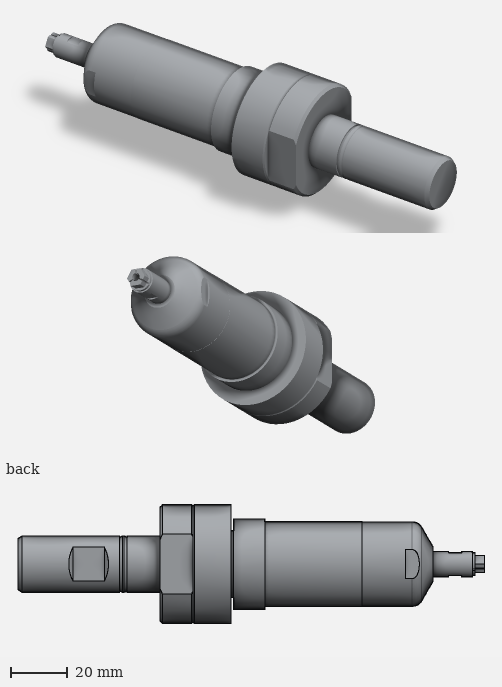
import cadquery as cq
import math

HEX_LENGTH = 3.3
SPINDLE_START = 4.3
CONE_START = 18.1
NOSE_ROUND_END = 25.5
BODY_JOINT = 43.4
COLLAR_START = 77.7
COLLAR_END = 88.7
FLANGE_START = 89.5
FLANGE_SPLIT = 103.0
FLANGE_END = 114.8
RING_START = 126.3
RING_END = 129.0
TOTAL_LENGTH = 164.9

STEP_DIAMETER = 8.0
SPINDLE_DIAMETER = 9.0
CONE_SMALL_DIAMETER = 12.0
NOSE_DIAMETER = 29.8
BODY_DIAMETER = 30.0
COLLAR_DIAMETER = 32.0
NECK_DIAMETER = 23.7
FLANGE_DIAMETER = 42.0
SHAFT_DIAMETER = 20.0

SPLIT_CHAMFER = 0.5
FLANGE_CHAMFER = 1.0
SHAFT_CHAMFER_LENGTH = 1.5
SHAFT_CHAMFER_DEPTH = 1.0
NOSE_ROUND_RADIUS = 4.0
CONE_HALF_ANGLE = math.radians(58)

GROOVE_DEPTH = 0.5
RING_CREST_WIDTH = 0.5

HEX_ACROSS_FLATS = 6.1
TIP_SLOT_WIDTH = 0.5
TIP_SLOT_DEPTH = 4.3
TIP_SLOT_COUNT = 3
TIP_BORE_DIAMETER = 3.0
TIP_BORE_DEPTH = 5.0

SPINDLE_FLAT_START = 8.0
SPINDLE_FLAT_END = 12.7
SPINDLE_FLAT_WIDTH = 8.0
NOSE_FLAT_END = 27.9
NOSE_FLAT_WIDTH = 28.0
FLANGE_FLAT_WIDTH = 36.3

NOTCH_FLOOR_START = 134.4
NOTCH_FLOOR_END = 145.5
NOTCH_DEPTH = 2.0
NOTCH_RUNOUT = 1.5


def turned_body():
    """Revolve the stepped outline about the X axis."""
    step = STEP_DIAMETER / 2
    spindle = SPINDLE_DIAMETER / 2
    nose = NOSE_DIAMETER / 2
    body = BODY_DIAMETER / 2
    collar = COLLAR_DIAMETER / 2
    neck = NECK_DIAMETER / 2
    flange = FLANGE_DIAMETER / 2
    shaft = SHAFT_DIAMETER / 2

    round_mid_angle = CONE_HALF_ANGLE / 2
    round_center_radius = nose - NOSE_ROUND_RADIUS
    round_start = (
        NOSE_ROUND_END - NOSE_ROUND_RADIUS * math.sin(CONE_HALF_ANGLE),
        round_center_radius + NOSE_ROUND_RADIUS * math.cos(CONE_HALF_ANGLE),
    )
    round_middle = (
        NOSE_ROUND_END - NOSE_ROUND_RADIUS * math.sin(round_mid_angle),
        round_center_radius + NOSE_ROUND_RADIUS * math.cos(round_mid_angle),
    )

    ring_middle = (RING_START + RING_END) / 2
    crest_start = ring_middle - RING_CREST_WIDTH / 2
    crest_end = ring_middle + RING_CREST_WIDTH / 2

    outline = (
        cq.Workplane("XY")
        .moveTo(HEX_LENGTH, 0)
        .lineTo(HEX_LENGTH, step)
        .lineTo(SPINDLE_START, step)
        .lineTo(SPINDLE_START, spindle)
        .lineTo(CONE_START, spindle)
        .lineTo(CONE_START, CONE_SMALL_DIAMETER / 2)
        .lineTo(*round_start)
        .threePointArc(round_middle, (NOSE_ROUND_END, nose))
        .lineTo(BODY_JOINT, nose)
        .lineTo(BODY_JOINT, body)
        .lineTo(COLLAR_START, body)
        .lineTo(COLLAR_START, collar)
        .lineTo(COLLAR_END, collar)
        .lineTo(COLLAR_END, neck)
        .lineTo(FLANGE_START, neck)
        .lineTo(FLANGE_START, flange)
        .lineTo(FLANGE_SPLIT - SPLIT_CHAMFER, flange)
        .lineTo(FLANGE_SPLIT, flange - SPLIT_CHAMFER)
        .lineTo(FLANGE_SPLIT + SPLIT_CHAMFER, flange)
        .lineTo(FLANGE_END - FLANGE_CHAMFER, flange)
        .lineTo(FLANGE_END, flange - FLANGE_CHAMFER)
        .lineTo(FLANGE_END, shaft)
        .lineTo(RING_START, shaft)
        .lineTo(RING_START, shaft - GROOVE_DEPTH)
        .lineTo(crest_start, shaft)
        .lineTo(crest_end, shaft)
        .lineTo(RING_END, shaft - GROOVE_DEPTH)
        .lineTo(RING_END, shaft)
        .lineTo(TOTAL_LENGTH - SHAFT_CHAMFER_LENGTH, shaft)
        .lineTo(TOTAL_LENGTH, shaft - SHAFT_CHAMFER_DEPTH)
        .lineTo(TOTAL_LENGTH, 0)
        .close()
    )
    return outline.revolve(360, (0, 0, 0), (1, 0, 0))


def hex_tip():
    """Hexagonal prism on the X axis with two of its flats facing +Z and -Z."""
    across_corners = HEX_ACROSS_FLATS / math.cos(math.radians(30))
    return cq.Workplane("YZ").polygon(6, across_corners).extrude(HEX_LENGTH)


def tip_cuts():
    """Central bore and the radial slots that split the tip into jaws."""
    cuts = cq.Workplane("YZ").circle(TIP_BORE_DIAMETER / 2).extrude(TIP_BORE_DEPTH)
    slot = cq.Workplane("XY").box(
        TIP_SLOT_DEPTH, TIP_SLOT_WIDTH, SPINDLE_DIAMETER / 2, centered=(False, True, False)
    )
    for index in range(TIP_SLOT_COUNT):
        angle = index * 360 / TIP_SLOT_COUNT
        cuts = cuts.union(slot.rotate((0, 0, 0), (1, 0, 0), angle))
    return cuts


def flat_pair(start, end, across, direction):
    """Two blocks that leave parallel flats, `across` apart, facing +/- direction."""
    size = FLANGE_DIAMETER
    offset = (across + size) / 2
    block = cq.Workplane("XY").box(end - start, size, size).translate(((start + end) / 2, 0, 0))
    shift = direction * offset
    return block.translate(shift).union(block.translate(-shift))


def clamping_notch():
    """Flat-bottomed notch with sloping ends, running through along Z."""
    surface = SHAFT_DIAMETER / 2
    floor = surface - NOTCH_DEPTH
    top = surface + NOTCH_DEPTH
    top_runout = 2 * NOTCH_RUNOUT
    return (
        cq.Workplane("XY")
        .moveTo(NOTCH_FLOOR_START, floor)
        .lineTo(NOTCH_FLOOR_END, floor)
        .lineTo(NOTCH_FLOOR_END + top_runout, top)
        .lineTo(NOTCH_FLOOR_START - top_runout, top)
        .close()
        .extrude(surface, both=True)
    )


Y_DIRECTION = cq.Vector(0, 1, 0)
Z_DIRECTION = cq.Vector(0, 0, 1)

result = (
    turned_body()
    .union(hex_tip())
    .cut(tip_cuts())
    .cut(flat_pair(SPINDLE_FLAT_START, SPINDLE_FLAT_END, SPINDLE_FLAT_WIDTH, Z_DIRECTION))
    .cut(flat_pair(CONE_START, NOSE_FLAT_END, NOSE_FLAT_WIDTH, Y_DIRECTION))
    .cut(flat_pair(FLANGE_SPLIT, FLANGE_END, FLANGE_FLAT_WIDTH, Y_DIRECTION))
    .cut(clamping_notch())
)